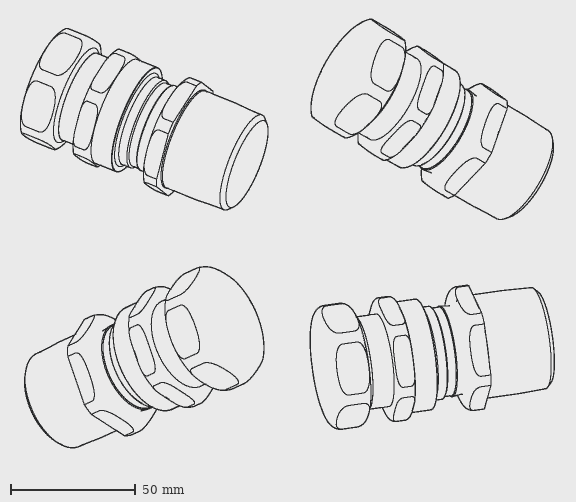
import cadquery as cq
import math

ACROSS_FLATS = 46.0
ACROSS_CORNERS = 50.5

CAP_HEX_END = 14.2
CAP_LIP_END = 15.7
BODY_HEX_START = 24.6
BODY_HEX_END = 32.2
COLLAR_END = 41.6
BODY_LIP_END = 42.9
SPIGOT_THREAD_END = 47.1
SHOULDER_START = 50.6
SHOULDER_END = 54.9
ENTRY_HEX_START = 56.0
ENTRY_HEX_END = 63.2
TAPER_START = 77.8
TAPER_END = 89.5
OVERALL_LENGTH = 91.3

CAP_ROUND = 4.1
BODY_ROUND = 2.2
ENTRY_ROUND = 3.2

LIP_EDGE_DIAMETER = 38.4
LIP_NOSE_LENGTH = 0.3
LIP_NOSE_DROP = 0.2

BODY_SPIGOT_DIAMETER = 37.7
COLLAR_DIAMETER = 45.2
COLLAR_CHAMFER = 0.2
SPIGOT_THREAD_DIAMETER = 38.0
SPIGOT_THREAD_CHAMFER = 0.55
UNDERCUT_DIAMETER = 36.2
SHOULDER_DIAMETER = 37.1
SHOULDER_NECK_DIAMETER = 36.0
SHOULDER_CHAMFER = 0.4
ENTRY_THREAD_DIAMETER = 42.2
ENTRY_THREAD_ROOT_LENGTH = 0.55
ENTRY_THREAD_ROOT_RISE = 0.2
TAPER_END_DIAMETER = 41.3

CAP_SOCKET_START = CAP_ROUND
BODY_SOCKET_START = BODY_HEX_END


def turned(profile):
    """Revolve a closed (x, radius) profile around the X axis."""
    return profile.close().revolve(360, (0, 0, 0), (1, 0, 0))


def cylinder(start, end, diameter):
    return cq.Workplane("YZ", origin=(start, 0, 0)).circle(diameter / 2).extrude(end - start)


def cone(start, end, start_diameter, end_diameter):
    return turned(
        cq.Workplane("XY")
        .moveTo(start, 0)
        .lineTo(start, start_diameter / 2)
        .lineTo(end, end_diameter / 2)
        .lineTo(end, 0)
    )


def lip(start, end):
    """45 degree conical lip with a blunted nose."""
    edge = end - LIP_NOSE_LENGTH
    root_diameter = LIP_EDGE_DIAMETER + 2 * (edge - start)
    taper = cone(start, edge, root_diameter, LIP_EDGE_DIAMETER)
    nose = cone(edge, end, LIP_EDGE_DIAMETER, LIP_EDGE_DIAMETER - 2 * LIP_NOSE_DROP)
    return taper.union(nose)


def rounded_hexagon(start, end, front_round, back_round):
    """Hexagon trimmed by a cylinder whose end edges have quarter-circle rounds."""
    prism = (
        cq.Workplane("YZ", origin=(start, 0, 0))
        .polygon(6, ACROSS_FLATS / math.cos(math.pi / 6))
        .extrude(end - start)
    )
    envelope = cylinder(start, end, ACROSS_CORNERS).faces("<X").edges().fillet(front_round)
    if back_round:
        envelope = envelope.faces(">X").edges().fillet(back_round)
    return prism.intersect(envelope)


def make_cap_nut():
    hexagon = rounded_hexagon(0, CAP_HEX_END, CAP_ROUND, CAP_ROUND)
    socket = cylinder(CAP_SOCKET_START, CAP_LIP_END, BODY_SPIGOT_DIAMETER)
    return hexagon.union(lip(CAP_HEX_END, CAP_LIP_END)).cut(socket)


def make_gland_body():
    spigot = cylinder(CAP_SOCKET_START, BODY_HEX_START, BODY_SPIGOT_DIAMETER)
    hexagon = rounded_hexagon(BODY_HEX_START, BODY_HEX_END, BODY_ROUND, BODY_ROUND)
    collar = cylinder(BODY_HEX_END, COLLAR_END, COLLAR_DIAMETER)
    collar = collar.faces(">X").chamfer(COLLAR_CHAMFER)
    socket = cylinder(BODY_SOCKET_START, BODY_LIP_END, SPIGOT_THREAD_DIAMETER)
    return spigot.union(hexagon).union(collar).union(lip(COLLAR_END, BODY_LIP_END)).cut(socket)


def make_entry_spigot():
    """Threaded spigot, undercut and tapered shoulder that flares into the entry hexagon."""
    thread_radius = SPIGOT_THREAD_DIAMETER / 2
    undercut_radius = UNDERCUT_DIAMETER / 2
    shoulder_radius = SHOULDER_DIAMETER / 2
    neck_radius = SHOULDER_NECK_DIAMETER / 2
    flare_radius = ENTRY_HEX_START - SHOULDER_END
    diagonal = flare_radius * math.sqrt(0.5)
    return turned(
        cq.Workplane("XY")
        .moveTo(BODY_SOCKET_START, 0)
        .lineTo(BODY_SOCKET_START, thread_radius)
        .lineTo(SPIGOT_THREAD_END - SPIGOT_THREAD_CHAMFER, thread_radius)
        .lineTo(SPIGOT_THREAD_END, undercut_radius)
        .lineTo(SHOULDER_START, undercut_radius)
        .lineTo(SHOULDER_START, shoulder_radius - SHOULDER_CHAMFER)
        .lineTo(SHOULDER_START + SHOULDER_CHAMFER, shoulder_radius)
        .lineTo(SHOULDER_END, neck_radius)
        .threePointArc(
            (SHOULDER_END + diagonal, neck_radius + flare_radius - diagonal),
            (ENTRY_HEX_START, neck_radius + flare_radius),
        )
        .lineTo(ENTRY_HEX_START, 0)
    )


def make_entry_thread():
    """Parallel then tapered thread with a flared root and a chamfered free end."""
    thread_radius = ENTRY_THREAD_DIAMETER / 2
    taper_radius = TAPER_END_DIAMETER / 2
    end_chamfer = OVERALL_LENGTH - TAPER_END
    return turned(
        cq.Workplane("XY")
        .moveTo(ENTRY_HEX_END, 0)
        .lineTo(ENTRY_HEX_END, thread_radius + ENTRY_THREAD_ROOT_RISE)
        .lineTo(ENTRY_HEX_END + ENTRY_THREAD_ROOT_LENGTH, thread_radius)
        .lineTo(TAPER_START, thread_radius)
        .lineTo(TAPER_END, taper_radius)
        .lineTo(OVERALL_LENGTH, taper_radius - end_chamfer)
        .lineTo(OVERALL_LENGTH, 0)
    )


def make_entry():
    hexagon = rounded_hexagon(ENTRY_HEX_START, ENTRY_HEX_END, ENTRY_ROUND, 0)
    return hexagon.union(make_entry_spigot()).union(make_entry_thread())


cap_nut = make_cap_nut()
gland_body = make_gland_body()
entry = make_entry()

result = cq.Compound.makeCompound([cap_nut.solids().val(), gland_body.solids().val(), entry.solids().val()])